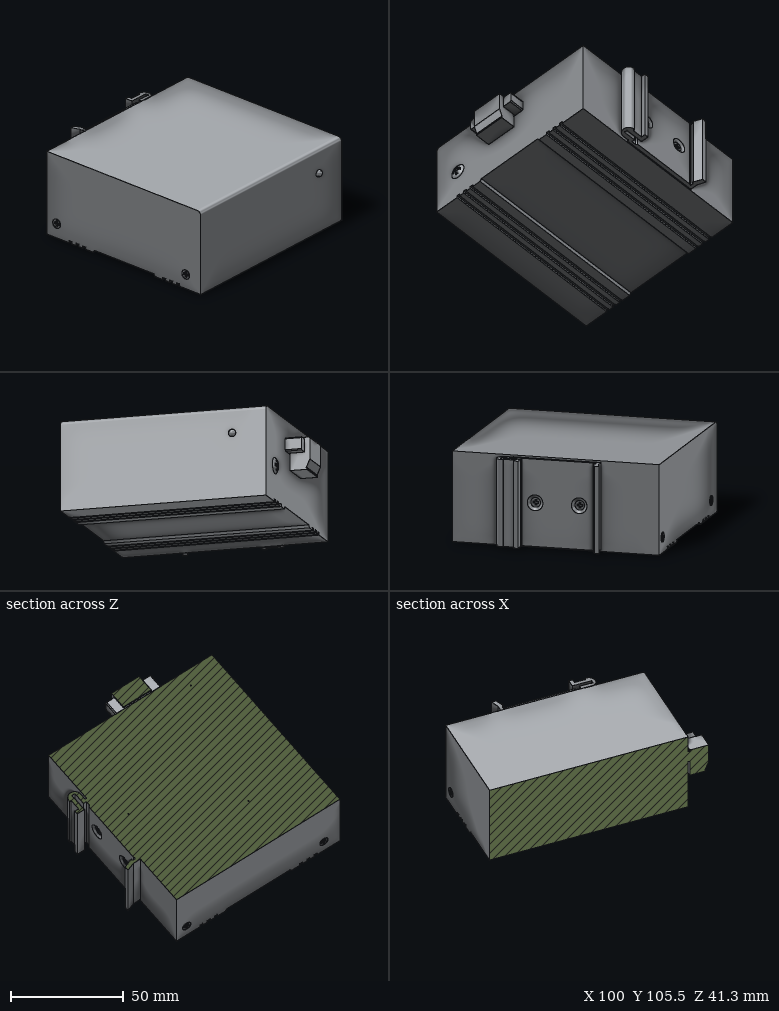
import cadquery as cq
import math

body_width = 90.1
body_depth = 95.6
body_height = 41.3
edge_radius = 2.0

groove_center_x = 45.3
groove_depth = 1.2
slot_width = 1.6
slot_offsets = (23.4, 27.4, 31.4)
recess_top_width = 34.6
recess_bottom_width = 36.3

cross_length = 2.5
cross_width = 0.8
cross_depth = 0.8

cover_screw_xs = (5.7, 81.2)
cover_screw_z = 7.1
screw_head_radius = 2.2
cover_screw_sink = 0.2

clip_height = 39.7
clip_reach = 8.2
clip_plate = 1.9
clip_bottom_y = 26.9
clip_top_y = 67.2
lip_reach = 7.9
lip_root_y = 28.7
hook_toe_y = 62.8
hook_toe_thickness = 2.0
hook_inner_x = -0.6
hook_outer_x = -7.1
hook_radius = (hook_inner_x - hook_outer_x) / 2
hook_center_y = 70.6
spring_slot_xs = (-4.2, -2.7)
spring_slot_top_y = 72.1
clip_bottom_z = (body_height - clip_height) / 2
clip_screw_ys = (36.4, 56.8)
countersink_radius = 3.6
countersink_depth = 1.0

plug_x = 41.9
plug_width = 15.5
plug_gap = 0.7
plug_reach = 9.9
plug_bottom_z = 18.9
plug_top_z = 33.5
plug_foot_reach = 8.5
plug_notch_z = 19.7
socket_width = 25.0
socket_reach = 7.5
socket_bottom_z = 26.8
socket_height = 6.0
socket_chamfer = 0.5

ground_screw_x = 77.0
ground_screw_z = 16.6
ground_screw_radius = 3.7
ground_screw_height = 1.5
ground_cross_length = 4.2
ground_cross_width = 1.2

lamp_radius = 1.7
lamp_y = 79.9
lamp_z = 29.5


def cross_recess(plane, length=cross_length, width=cross_width):
    """Cross-shaped cutter centred on the plane and sunk below it."""
    bar = cq.Workplane(plane).rect(length, width).extrude(-cross_depth)
    return bar.union(cq.Workplane(plane).rect(width, length).extrude(-cross_depth))


def make_body():
    """Box with one rounded edge and grooves running the full depth of its underside."""
    body = cq.Workplane("XY").box(body_width, body_depth, body_height, centered=False)
    body = body.edges(">X and >Z").fillet(edge_radius)
    recess = (
        cq.Workplane("XZ")
        .moveTo(groove_center_x - recess_bottom_width / 2, 0)
        .lineTo(groove_center_x - recess_top_width / 2, groove_depth)
        .lineTo(groove_center_x + recess_top_width / 2, groove_depth)
        .lineTo(groove_center_x + recess_bottom_width / 2, 0)
        .close()
        .extrude(-body_depth)
    )
    body = body.cut(recess)
    for offset in slot_offsets:
        for side in (-1, 1):
            slot = cq.Workplane("XY").box(
                slot_width, body_depth, groove_depth, centered=(True, False, False)
            )
            body = body.cut(slot.translate((groove_center_x + side * offset, 0, 0)))
    return body


def cut_cover_screws(body):
    """Sunken flat screw heads with cross recesses on the -Y face."""
    for x in cover_screw_xs:
        face = cq.Plane((x, 0, cover_screw_z), (1, 0, 0), (0, -1, 0))
        head = cq.Plane((x, cover_screw_sink, cover_screw_z), (1, 0, 0), (0, -1, 0))
        body = body.cut(cq.Workplane(face).circle(screw_head_radius).extrude(-cover_screw_sink))
        body = body.cut(cross_recess(head))
    return body


def make_clip():
    """Rail clip: mounting plate, spring hook at the top and sloped lip at the bottom."""
    return (
        cq.Workplane("XY", origin=(0, 0, clip_bottom_z))
        .moveTo(0, clip_bottom_y)
        .lineTo(-3.8, clip_bottom_y)
        .lineTo(-lip_reach, 25.4)
        .lineTo(-lip_reach, 27.6)
        .lineTo(-3.9, 29.3)
        .lineTo(-3.2, 29.3)
        .lineTo(-3.2, lip_root_y)
        .lineTo(-1.6, lip_root_y)
        .lineTo(-clip_plate, 29.6)
        .lineTo(-clip_plate, hook_toe_y)
        .lineTo(-1.2, 63.5)
        .lineTo(-1.2, 65.6)
        .lineTo(spring_slot_xs[1], 65.6)
        .lineTo(spring_slot_xs[1], spring_slot_top_y)
        .lineTo(spring_slot_xs[0], spring_slot_top_y)
        .lineTo(spring_slot_xs[0], hook_toe_y)
        .lineTo(-clip_reach, hook_toe_y)
        .lineTo(-clip_reach, hook_toe_y + hook_toe_thickness)
        .lineTo(-6.2, hook_toe_y + hook_toe_thickness)
        .lineTo(-6.2, 70.0)
        .lineTo(hook_outer_x, 70.0)
        .lineTo(hook_outer_x, hook_center_y)
        .threePointArc(
            (hook_inner_x - hook_radius, hook_center_y + hook_radius), (hook_inner_x, hook_center_y)
        )
        .lineTo(hook_inner_x, clip_top_y)
        .lineTo(0, clip_top_y)
        .close()
        .extrude(clip_height)
    )


def cut_clip_screws(part):
    """Countersunk screws in the clip plate."""
    for y in clip_screw_ys:
        center = (-clip_plate, y, body_height / 2)
        floor = (countersink_depth - clip_plate, y, body_height / 2)
        cone = cq.Solid.makeCone(
            countersink_radius, screw_head_radius, countersink_depth, cq.Vector(center), cq.Vector(1, 0, 0)
        )
        part = part.cut(cq.Workplane(cone))
        part = part.cut(cross_recess(cq.Plane(floor, (0, 1, 0), (-1, 0, 0))))
    return part


def make_connector():
    """Socket with chamfered edges, holding a plug with a sloped lower front."""
    socket = (
        cq.Workplane("XY")
        .box(socket_width, socket_reach, socket_height, centered=(True, False, False))
        .edges("|Y")
        .chamfer(socket_chamfer)
        .translate((plug_x + plug_width / 2, body_depth, socket_bottom_z))
    )
    plug = (
        cq.Workplane("YZ", origin=(plug_x, body_depth, 0))
        .moveTo(plug_gap, plug_bottom_z)
        .lineTo(plug_gap, plug_top_z)
        .lineTo(plug_reach, plug_top_z)
        .lineTo(plug_reach, 23.5)
        .lineTo(8.2, plug_notch_z)
        .lineTo(plug_foot_reach, plug_notch_z)
        .lineTo(plug_foot_reach, plug_bottom_z)
        .close()
        .extrude(plug_width)
    )
    return socket.union(plug)


def domed_cap(plane, radius, height):
    """Spherical cap standing on the plane's origin and rising along its local Y axis."""
    sphere_radius = (radius**2 + height**2) / (2 * height)
    mid_x = radius / 2
    mid_y = height - sphere_radius + math.sqrt(sphere_radius**2 - mid_x**2)
    return (
        cq.Workplane(plane)
        .lineTo(radius, 0)
        .threePointArc((mid_x, mid_y), (0, height))
        .close()
        .revolve(360, (0, 0), (0, 1))
    )


def make_ground_screw():
    """Domed screw head with a cross recess."""
    base = cq.Plane((ground_screw_x, body_depth, ground_screw_z), (1, 0, 0), (0, 0, 1))
    top = cq.Plane((ground_screw_x, body_depth + ground_screw_height, ground_screw_z), (1, 0, 0), (0, 1, 0))
    head = domed_cap(base, ground_screw_radius, ground_screw_height)
    return head.cut(cross_recess(top, ground_cross_length, ground_cross_width))


def make_lamp():
    """Hemispherical lamp."""
    base = cq.Plane((body_width, lamp_y, lamp_z), (0, 1, 0), (0, 0, -1))
    return domed_cap(base, lamp_radius, lamp_radius)


result = cut_cover_screws(make_body())
result = cut_clip_screws(result.union(make_clip()))
result = result.union(make_connector()).union(make_ground_screw()).union(make_lamp())